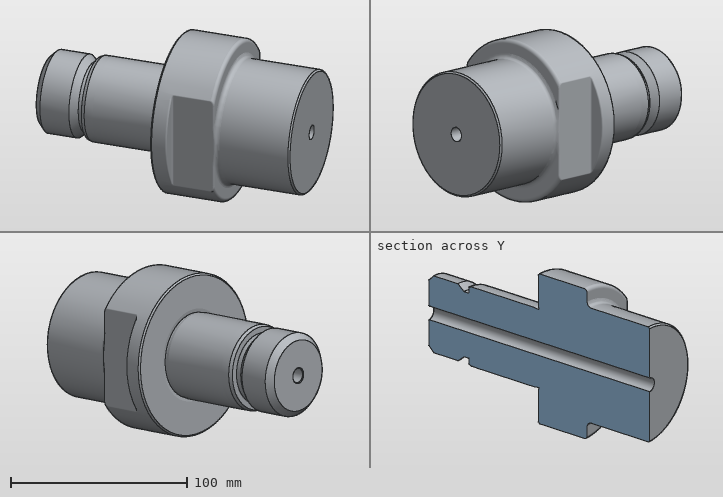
import cadquery as cq
import math

length = 159.0

nose_radius = 24.2
groove_radius = 20.5
nose_chamfer_length = 3.7
nose_end = 21.1
groove_start = 25.5
groove_end = 28.6

shank_radius = 25.0
lead_taper = 0.08
lead_radius = shank_radius - lead_taper
bevel_radius = 24.0
bevel_end = 30.7
lead_end = 36.0
shank_end = 76.2
undercut_floor_start = 77.8
undercut_depth = 0.3
undercut_outer_radius = 26.7

flange_diameter = 94.0
flange_radius = flange_diameter / 2
flange_start = 78.7
flange_end = 114.0
flange_front_chamfer = 1.0
flange_rear_round = 2.4

hub_radius = 36.1
hub_fillet = 2.9
hub_chamfer = 1.0

flat_offset = 37.5
flat_start = 88.7
flat_fillet = 1.0
flat_edge_round = 1.0
rim_search_margin = 0.2

bore_radius = 4.1
bore_chamfer = 0.5


def turned_body():
    """Revolve the outer half profile, given as (X, radius) points."""
    round_diagonal = flange_rear_round * math.sqrt(0.5)
    fillet_diagonal = hub_fillet * math.sqrt(0.5)
    undercut_radius = shank_radius - undercut_depth
    round_centre = (flange_end - flange_rear_round, flange_radius - flange_rear_round)
    fillet_centre = (flange_end + hub_fillet, hub_radius + hub_fillet)
    profile = (
        cq.Workplane("XY")
        .moveTo(0, 0)
        .lineTo(0, groove_radius)
        .lineTo(nose_chamfer_length, nose_radius)
        .lineTo(nose_end, nose_radius)
        .lineTo(groove_start, groove_radius)
        .lineTo(groove_end, groove_radius)
        .lineTo(groove_end, bevel_radius)
        .lineTo(bevel_end, lead_radius)
        .lineTo(lead_end, shank_radius)
        .lineTo(shank_end, shank_radius)
        .lineTo(undercut_floor_start, undercut_radius)
        .lineTo(flange_start + undercut_depth, undercut_radius)
        .lineTo(flange_start, undercut_outer_radius)
        .lineTo(flange_start, flange_radius - flange_front_chamfer)
        .lineTo(flange_start + flange_front_chamfer, flange_radius)
        .lineTo(round_centre[0], flange_radius)
        .threePointArc(
            (round_centre[0] + round_diagonal, round_centre[1] + round_diagonal),
            (flange_end, round_centre[1]),
        )
        .lineTo(flange_end, fillet_centre[1])
        .threePointArc(
            (fillet_centre[0] - fillet_diagonal, fillet_centre[1] - fillet_diagonal),
            (fillet_centre[0], hub_radius),
        )
        .lineTo(length - hub_chamfer, hub_radius)
        .lineTo(length, hub_radius - hub_chamfer)
        .lineTo(length, 0)
        .close()
    )
    return profile.revolve(360, (0, 0, 0), (1, 0, 0))


def flat_cutter(side):
    """Block that cuts one flat; side is -1 or +1 along Y."""
    cut_length = length - flat_start
    cut_depth = flange_radius
    block = cq.Workplane("XY").box(cut_length, cut_depth, 2 * flange_radius)
    block = block.translate((flat_start + cut_length / 2, side * (flat_offset + cut_depth / 2), 0))
    root_edge = block.faces("<X").edges(">Y" if side < 0 else "<Y")
    return root_edge.fillet(flat_fillet)


def round_flat_edges(body):
    """Round the outer rim of the wall behind each flat."""
    reach = 2 * flange_radius
    rim = cq.selectors.BoxSelector(
        (flat_start - rim_search_margin, -reach, -reach), (flat_start + rim_search_margin, reach, reach)
    )
    return body.edges(rim).edges("%CIRCLE").fillet(flat_edge_round)


def bore():
    """Through bore with a small chamfer at its nose end."""
    hole = cq.Workplane("YZ").circle(bore_radius).extrude(length)
    mouth = cq.Workplane("YZ").circle(bore_radius + bore_chamfer).extrude(bore_chamfer, taper=45)
    return hole.union(mouth)


result = turned_body()
for side in (-1, 1):
    result = result.cut(flat_cutter(side))
result = round_flat_edges(result)
result = result.cut(bore())